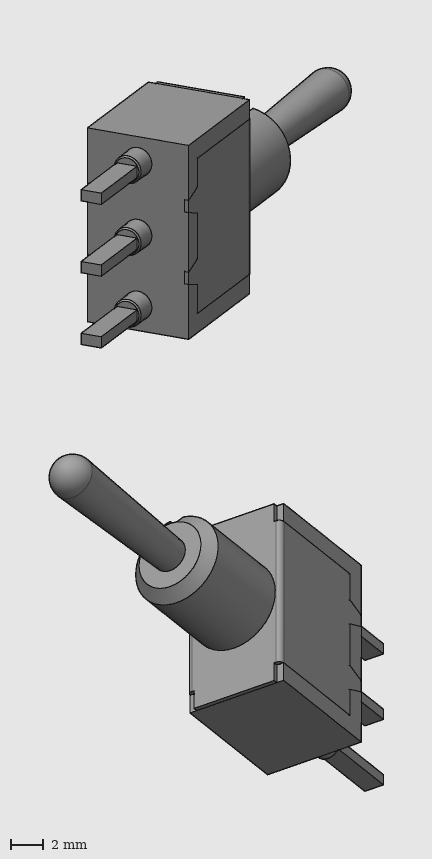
import cadquery as cq


case_width = 6.86
case_height = 12.7
case_depth = 8.89

sheet = 0.3
bend_inner_radius = 0.06
bend_outer_radius = bend_inner_radius + sheet
frame_height = 10.16
end_plate_width = 5.86
tab_length = 1.27
tab_root_width = 1.72
tab_tip_width = 0.8

bushing_radius = 3.02
bushing_length = 7.08
bushing_chamfer = 0.76
keyway_width = 0.95
keyway_floor = 2.27

lever_root_radius = 1.12
lever_tip_radius = 1.44
lever_length = 12.21

pitch = 4.7
terminal_width = 1.37
terminal_thickness = 0.74
terminal_length = 6.6
collar_length = 1.56
collar_root_radius = 0.935
collar_end_radius = 0.905
collar_chamfer = 0.1

bushing_end = case_depth + bushing_length
terminal_heights = [-pitch, 0, pitch]


def revolve_about_y(profile):
    """Turn a closed (radius, y) profile drawn in the XY plane about the Y axis."""
    return profile.revolve(360, (0, 0, 0), (0, 1, 0))


def slab(width, y_start, y_end, height):
    """Box centred on X and Z that runs between two Y positions."""
    return cq.Workplane("XY").box(width, y_end - y_start, height).translate((0, (y_start + y_end) / 2, 0))


def make_channel():
    """U-shaped channel, square outside, whose two walls end in tapered tabs on the terminal face."""
    half_height = frame_height / 2
    outline = [(case_depth, half_height), (tab_length, half_height)]
    for tab_z in (pitch / 2, -pitch / 2):
        outline += [
            (tab_length, tab_z + tab_root_width / 2),
            (0, tab_z + tab_tip_width / 2),
            (0, tab_z - tab_tip_width / 2),
            (tab_length, tab_z - tab_root_width / 2),
        ]
    outline += [(tab_length, -half_height), (case_depth, -half_height)]
    solid_block = cq.Workplane("YZ").polyline(outline).close().extrude(case_width / 2, both=True)
    inside = slab(case_width - 2 * sheet, 0, case_depth - sheet, case_height)
    inside = inside.edges("|Z and >Y").fillet(bend_inner_radius)
    return solid_block.cut(inside)


def make_bushing():
    """Chamfered round bushing with a flat-floored keyway along its +Z side."""
    profile = cq.Workplane("XY").polyline([
        (0, case_depth),
        (bushing_radius, case_depth),
        (bushing_radius, bushing_end - bushing_chamfer),
        (bushing_radius - bushing_chamfer, bushing_end),
        (0, bushing_end),
    ]).close()
    keyway_depth = bushing_radius - keyway_floor
    keyway = slab(keyway_width, case_depth, bushing_end, keyway_depth)
    keyway = keyway.translate((0, 0, keyway_floor + keyway_depth / 2))
    return revolve_about_y(profile).cut(keyway)


def make_frame(channel):
    """Channel with rounded bends, taller end plate and bushing in one piece."""
    bent_channel = channel.edges("|Z and >Y").fillet(bend_outer_radius)
    end_plate = slab(end_plate_width, case_depth - sheet, case_depth, case_height)
    return bent_channel.union(end_plate).union(make_bushing())


def make_case(channel):
    """Plain block, recessed so that the frame lies flush in its sides."""
    block = slab(case_width, 0, case_depth - sheet, case_height)
    return block.cut(channel)


def make_lever():
    """Bat lever that widens towards a hemispherical tip."""
    tip_y = bushing_end + lever_length
    dome_y = tip_y - lever_tip_radius
    dome_mid = lever_tip_radius * 0.5 ** 0.5
    profile = (
        cq.Workplane("XY")
        .moveTo(0, bushing_end)
        .lineTo(lever_root_radius, bushing_end)
        .lineTo(lever_tip_radius, dome_y)
        .threePointArc((dome_mid, dome_y + dome_mid), (0, tip_y))
        .close()
    )
    return revolve_about_y(profile)


def make_terminal(z):
    """Flat terminal blade at height z, starting at the case face."""
    return slab(terminal_width, -terminal_length, 0, terminal_thickness).translate((0, 0, z))


def make_collar(z, terminal):
    """Slightly tapered collar round a terminal, chamfered at its free end."""
    profile = cq.Workplane("XY").polyline([
        (0, 0),
        (collar_root_radius, 0),
        (collar_end_radius, collar_chamfer - collar_length),
        (collar_end_radius - collar_chamfer, -collar_length),
        (0, -collar_length),
    ]).close()
    return revolve_about_y(profile).translate((0, 0, z)).cut(terminal)


channel = make_channel()
frame = make_frame(channel)
case = make_case(channel)
lever = make_lever()
terminals = [make_terminal(z) for z in terminal_heights]
collars = [make_collar(z, terminal) for z, terminal in zip(terminal_heights, terminals)]

bodies = [case, frame, lever, *terminals, *collars]
result = cq.Compound.makeCompound([body.solids().val() for body in bodies])